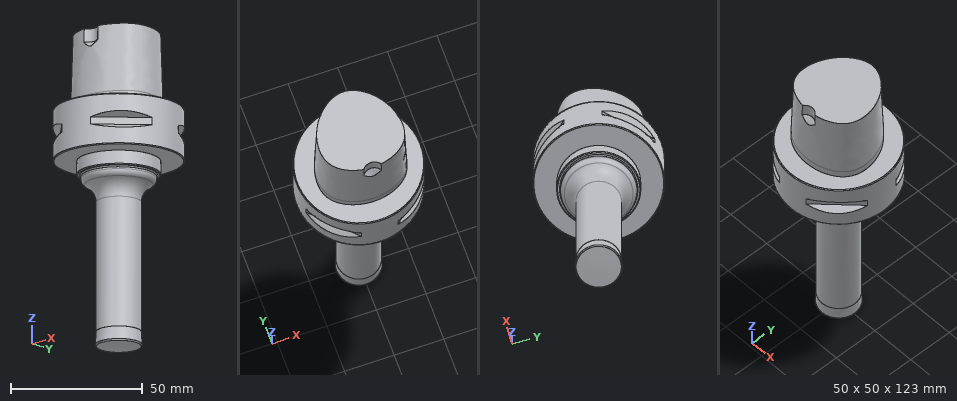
import cadquery as cq
import math

total_height = 123.0
flange_height = 20.0
flange_top = 93.2
flange_bottom = flange_top - flange_height
collar_bottom = 67.6
neck_round_top = 66.3
shaft_top = 57.1
tip_top = 5.9

flange_radius = 50.0 / 2
collar_radius = 32.0 / 2
neck_radius = 29.0 / 2
shaft_radius = 17.3 / 2
tip_radius = 9.0
edge_chamfer = 0.4
neck_fillet = 7.6
neck_flare = 0.4
neck_flare_height = 0.6

tip_bevel_top = 0.9
tip_rim_radius = 8.6
tip_rim_height = 0.2

shank_base_radius = 17.6
shank_tip_radius = 16.7
lobe_size = 1.7
shank_straight_height = 3.0
outline_points = 72

keyway_radius = 4.2
keyway_axis_y = -18.0
keyway_wall_bottom = 117.7

groove_count = 4
groove_first_angle = 45.0
groove_height = 83.0
groove_floor_distance = 22.1
groove_floor_width = 2.8
groove_mouth_width = 6.5


def shank_outline(mean_radius):
    """One turn of a three-lobed curve with a lobe pointing to +Y."""
    points = []
    for index in range(outline_points):
        angle = 2 * math.pi * index / outline_points
        radial = (mean_radius * math.cos(angle) - lobe_size * math.cos(2 * angle)
                  + lobe_size / 2 * math.cos(4 * angle))
        across = (mean_radius * math.sin(angle) + lobe_size * math.sin(2 * angle)
                  + lobe_size / 2 * math.sin(4 * angle))
        points.append((across, -radial))
    return points


def make_shank():
    taper_height = total_height - flange_top - shank_straight_height
    base = cq.Workplane("XY").workplane(offset=flange_top)
    straight = base.spline(shank_outline(shank_base_radius), periodic=True).close()
    straight = straight.extrude(shank_straight_height)
    taper = (
        cq.Workplane("XY").workplane(offset=flange_top + shank_straight_height)
        .spline(shank_outline(shank_base_radius), periodic=True).close()
        .workplane(offset=taper_height)
        .spline(shank_outline(shank_tip_radius), periodic=True).close()
        .loft(combine=True)
    )
    return straight.union(taper)


def make_keyway_cutter():
    """Drill with a 45 degree point."""
    profile = (
        cq.Workplane("XZ", origin=(0, keyway_axis_y, 0))
        .moveTo(0, keyway_wall_bottom - keyway_radius)
        .lineTo(keyway_radius, keyway_wall_bottom)
        .lineTo(keyway_radius, total_height)
        .lineTo(0, total_height)
        .close()
    )
    return profile.revolve(360, (0, 0, 0), (0, 1, 0))


def make_turned_body():
    """Flange, collar, curved neck and shaft as one turned profile."""
    rise = neck_round_top - shaft_top
    widening = neck_radius - shaft_radius
    turn = 2 * math.atan2(widening, rise)
    shoulder_round = rise / math.sin(turn) - neck_fillet

    def fillet_point(angle):
        return (shaft_radius + neck_fillet * (1 - math.cos(angle)),
                shaft_top + neck_fillet * math.sin(angle))

    def shoulder_point(angle):
        return (neck_radius - shoulder_round * (1 - math.cos(angle)),
                neck_round_top - shoulder_round * math.sin(angle))

    profile = (
        cq.Workplane("XZ")
        .moveTo(0, tip_top)
        .lineTo(shaft_radius, tip_top)
        .lineTo(shaft_radius, shaft_top)
        .threePointArc(fillet_point(turn / 2), fillet_point(turn))
        .threePointArc(shoulder_point(turn / 2), (neck_radius, neck_round_top))
        .lineTo(neck_radius, collar_bottom - neck_flare_height)
        .lineTo(neck_radius + neck_flare, collar_bottom)
        .lineTo(collar_radius - edge_chamfer, collar_bottom)
        .lineTo(collar_radius, collar_bottom + edge_chamfer)
        .lineTo(collar_radius, flange_bottom)
        .lineTo(flange_radius - edge_chamfer, flange_bottom)
        .lineTo(flange_radius, flange_bottom + edge_chamfer)
        .lineTo(flange_radius, flange_top - edge_chamfer)
        .lineTo(flange_radius - edge_chamfer, flange_top)
        .lineTo(0, flange_top)
        .close()
    )
    return profile.revolve(360, (0, 0, 0), (0, 1, 0))


def make_groove_cutter(angle):
    """Straight groove with sloping sides, facing outward at the given angle."""
    half_floor = groove_floor_width / 2
    half_mouth = groove_mouth_width / 2
    cutter = (
        cq.Workplane("XZ")
        .moveTo(groove_floor_distance, groove_height - half_floor)
        .lineTo(flange_radius, groove_height - half_mouth)
        .lineTo(flange_radius, groove_height + half_mouth)
        .lineTo(groove_floor_distance, groove_height + half_floor)
        .close()
        .extrude(flange_radius, both=True)
    )
    return cutter.rotate((0, 0, 0), (0, 0, 1), angle)


def make_holder():
    body = make_turned_body().union(make_shank()).cut(make_keyway_cutter())
    for index in range(groove_count):
        angle = groove_first_angle + index * 360 / groove_count
        body = body.cut(make_groove_cutter(angle))
    return body


def make_cutting_tip():
    """Slightly flared tip with a bevelled rim and a shallow conical end."""
    profile = (
        cq.Workplane("XZ")
        .lineTo(tip_rim_radius, tip_rim_height)
        .lineTo(tip_radius, tip_bevel_top)
        .lineTo(shaft_radius, tip_top)
        .lineTo(0, tip_top)
        .close()
    )
    return profile.revolve(360, (0, 0, 0), (0, 1, 0))


holder = make_holder()
cutting_tip = make_cutting_tip()
result = cq.Compound.makeCompound([holder.val(), cutting_tip.val()])